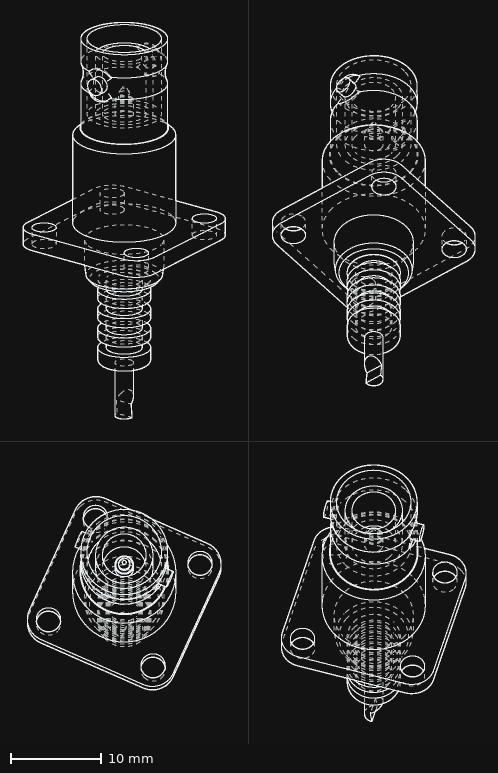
import cadquery as cq


total_height = 45.15
flange_bottom = 21.1
flange_thickness = 2.0
flange_top = flange_bottom + flange_thickness

flange_width = 17.5
flange_corner_radius = 2.55
mount_hole_diameter = 2.7
mount_hole_spacing = 12.75

body_diameter = 11.45
body_height = 11.4
body_top = flange_top + body_height
shoulder_chamfer = 0.8
barrel_diameter = 9.65

pin_height = 41.1
pin_diameter = 1.9
pin_span = 11.1
groove_width = 2.57
groove_bottom_radius = 4.55
flat_diameter = 3.85
flat_offset = 4.5

bore_diameter = 8.25
socket_floor = 36.15
tube_outer_diameter = 6.35
tube_inner_diameter = 4.85
tube_top = 43.35
contact_diameter = 2.08
contact_rim_diameter = 1.9
contact_top = 37.95
contact_rim_height = 0.1
probe_diameter = 1.25
probe_top = 39.3
probe_tip_diameter = 0.45
probe_taper = 0.68

sleeve_diameter = 8.8
sleeve_bottom = 16.4
sleeve_taper_top = 17.97
sleeve_taper_bottom = 16.9
sleeve_taper_diameter = 8.55
sleeve_rounding = 0.4

boot_bottom = 6.35
boot_diameter = 5.9
boot_neck_diameter = 4.0
boot_rounding = 0.45
end_rib_top = 8.17
top_rib_top = 15.15
rib_gap = 1.2
gap_count = 4
rib_pitch = (top_rib_top - end_rib_top) / (gap_count - 1)

cable_diameter = 2.08
cut_top = 2.75
cut_slope_bottom = 1.65
cut_depth = 0.1


def cylinder(diameter, bottom, top):
    return cq.Workplane("XY").workplane(offset=bottom).circle(diameter / 2).extrude(top - bottom)


def make_flange():
    plate = (
        cq.Workplane("XY").workplane(offset=flange_bottom)
        .rect(flange_width, flange_width).extrude(flange_thickness)
        .edges("|Z").fillet(flange_corner_radius)
    )
    return (
        plate.faces(">Z").workplane()
        .rect(mount_hole_spacing, mount_hole_spacing, forConstruction=True)
        .vertices().hole(mount_hole_diameter)
    )


def make_barrel():
    """Solid barrel with the arc groove, the pin flats and the two bayonet pins."""
    radius = barrel_diameter / 2
    profile = (
        cq.Workplane("XZ").moveTo(0, flange_top).lineTo(radius, flange_top)
        .lineTo(radius, pin_height - groove_width / 2)
        .threePointArc((groove_bottom_radius, pin_height), (radius, pin_height + groove_width / 2))
        .lineTo(radius, total_height).lineTo(0, total_height).close()
    )
    barrel = profile.revolve(360, (0, 0, 0), (0, 1, 0))
    for side in (1, -1):
        flat_plane = cq.Plane((0, side * flat_offset, pin_height), xDir=(1, 0, 0), normal=(0, side, 0))
        barrel = barrel.cut(cq.Workplane(flat_plane).circle(flat_diameter / 2).extrude(radius))
    for side in (1, -1):
        pin_plane = cq.Plane((0, side * bore_diameter / 2, pin_height), xDir=(1, 0, 0), normal=(0, side, 0))
        pin_length = (pin_span - bore_diameter) / 2
        barrel = barrel.union(cq.Workplane(pin_plane).circle(pin_diameter / 2).extrude(pin_length))
    return barrel.cut(cylinder(bore_diameter, socket_floor, total_height))


def make_contact():
    """Centre contact with a chamfered rim and a tapered probe standing on it."""
    contact = (
        cylinder(contact_diameter, socket_floor, contact_top)
        .faces(">Z").chamfer(contact_rim_height, (contact_diameter - contact_rim_diameter) / 2)
    )
    probe = (
        cylinder(probe_diameter, socket_floor, probe_top)
        .faces(">Z").chamfer(probe_taper, (probe_diameter - probe_tip_diameter) / 2)
    )
    return contact.union(probe)


def make_sleeve():
    radius = sleeve_diameter / 2
    taper_radius = sleeve_taper_diameter / 2
    profile = (
        cq.Workplane("XZ").moveTo(0, flange_bottom).lineTo(radius, flange_bottom)
        .lineTo(radius, sleeve_taper_top)
        .lineTo(taper_radius, sleeve_taper_bottom)
        .lineTo(taper_radius - sleeve_rounding, sleeve_bottom)
        .lineTo(0, sleeve_bottom).close()
    )
    return profile.revolve(360, (0, 0, 0), (0, 1, 0))


def make_boot():
    boot_top = end_rib_top + gap_count * rib_pitch
    boot = cylinder(boot_diameter, boot_bottom, boot_top).faces("<Z").edges().fillet(boot_rounding)
    for index in range(gap_count):
        gap_bottom = end_rib_top + index * rib_pitch
        gap = cylinder(boot_diameter, gap_bottom, gap_bottom + rib_gap)
        boot = boot.cut(gap.cut(cylinder(boot_neck_diameter, gap_bottom, gap_bottom + rib_gap)))
    return boot


def make_cable():
    radius = cable_diameter / 2
    cut = (
        cq.Workplane("YZ").workplane(offset=-radius)
        .polyline([
            (radius, cut_top), (-cut_depth, cut_slope_bottom), (cut_depth, 0), (radius, 0),
        ]).close().extrude(cable_diameter)
    )
    return cylinder(cable_diameter, 0, boot_bottom).cut(cut)


body = cylinder(body_diameter, flange_top, body_top).faces(">Z").chamfer(shoulder_chamfer)
tube = cylinder(tube_outer_diameter, socket_floor, tube_top)
tube = tube.cut(cylinder(tube_inner_diameter, socket_floor, tube_top))

result = make_flange().union(body)
for piece in (make_barrel(), tube, make_contact(), make_sleeve(), make_boot(), make_cable()):
    result = result.union(piece)